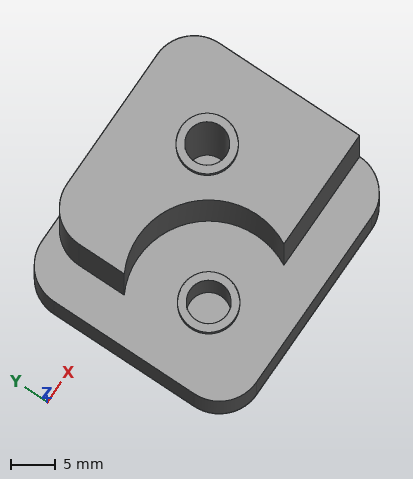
import cadquery as cq

length = 33.0
width = 29.0
base_height = 6.0
corner_radius = 5.0

block_height = 10.0
setback = corner_radius
relief_radius = 9.5

collar_diameter = 7.0
collar_height = 0.75
hole_diameter = 5.0
hole_floor = 1.0
low_center = (9.5, 9.5)
high_center = (22.5, 18.5)

block_top = base_height + block_height


def make_base():
    plate = cq.Workplane("XY").box(length, width, base_height, centered=False)
    return plate.edges("|Z").fillet(corner_radius)


def make_block():
    """Block with rounded back corners and a round relief about the low hole."""
    block = (
        cq.Workplane("XY", origin=(setback, setback, base_height))
        .rect(length - setback, width - setback, centered=False)
        .extrude(block_height)
        .edges("|Z and >Y")
        .fillet(corner_radius)
    )
    relief = cylinder(low_center, base_height, block_top, 2 * relief_radius)
    return block.cut(relief)


def cylinder(center, bottom, top, diameter):
    return (
        cq.Workplane("XY", origin=(*center, bottom))
        .circle(diameter / 2)
        .extrude(top - bottom)
    )


def add_collared_hole(body, center, surface):
    """Add a thin collar on a surface and bore through it, leaving a floor."""
    collar_top = surface + collar_height
    body = body.union(cylinder(center, surface, collar_top, collar_diameter))
    return body.cut(cylinder(center, hole_floor, collar_top, hole_diameter))


result = make_base().union(make_block())
result = add_collared_hole(result, low_center, base_height)
result = add_collared_hole(result, high_center, block_top)